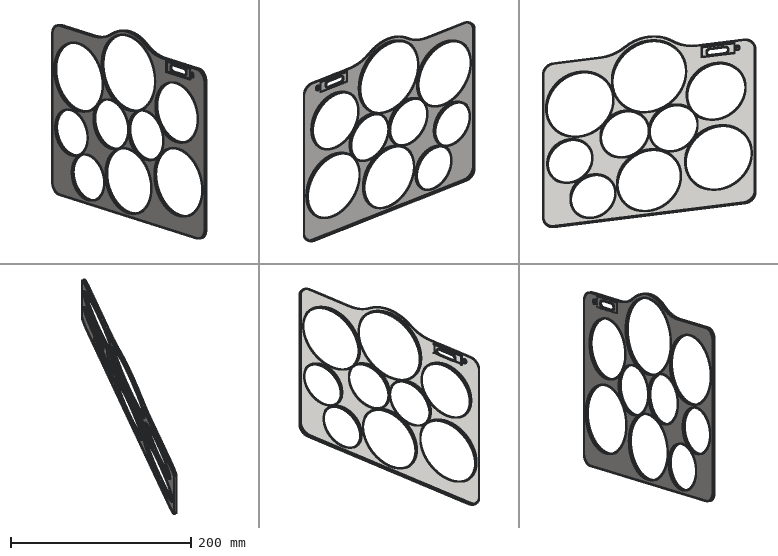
import cadquery as cq
import math

width = 245.8
total_height = 214.6
shoulder_height = 196.7
thickness = 3.0
corner_radius = 12.3

crest_radius = 47.7
blend_radius = 49.2

openings = [
    (0.0, 167.0, 86.3),
    (-80.5, 143.5, 78.2),
    (78.0, 138.7, 68.3),
    (-28.3, 100.8, 56.3),
    (28.3, 100.8, 56.3),
    (-92.0, 76.5, 52.4),
    (-65.2, 30.5, 52.4),
    (0.0, 41.3, 74.2),
    (80.6, 58.3, 77.5),
]

recess_center_x = 80.1
recess_center_z = 188.3
recess_length = 38.4
recess_height = 12.3
recess_depth = 1.7
slot_center_x = 79.0
slot_center_z = 187.8
slot_length = 25.3
slot_height = 7.5
small_hole_x = 102.5
small_hole_diameter = 5.2


def front_plane(x, z):
    """Sketch on the front face; its positive direction points out along -Y."""
    return cq.Workplane("XZ").center(x, z)


def make_plate():
    crest_center_z = total_height - crest_radius
    blend_center_z = shoulder_height + blend_radius
    center_distance = crest_radius + blend_radius
    angle = math.acos((blend_center_z - crest_center_z) / center_distance)
    blend_x = center_distance * math.sin(angle)

    tangent_x = crest_radius * math.sin(angle)
    tangent_z = crest_center_z + crest_radius * math.cos(angle)
    middle_x = blend_x - blend_radius * math.sin(angle / 2)
    middle_z = blend_center_z - blend_radius * math.cos(angle / 2)

    body = (
        front_plane(0, 0)
        .rect(width, shoulder_height)
        .extrude(-thickness)
        .edges("|Y")
        .fillet(corner_radius)
        .translate((0, 0, shoulder_height / 2))
    )
    crest = (
        front_plane(0, 0)
        .moveTo(-blend_x, shoulder_height)
        .threePointArc((-middle_x, middle_z), (-tangent_x, tangent_z))
        .threePointArc((0, total_height), (tangent_x, tangent_z))
        .threePointArc((middle_x, middle_z), (blend_x, shoulder_height))
        .lineTo(blend_x, shoulder_height / 2)
        .lineTo(-blend_x, shoulder_height / 2)
        .close()
        .extrude(-thickness)
    )
    return body.union(crest)


def round_cutter(x, z, diameter):
    return front_plane(x, z).circle(diameter / 2).extrude(-thickness)


def cut_tag_features(plate):
    recess = (
        front_plane(recess_center_x, recess_center_z)
        .rect(recess_length, recess_height)
        .extrude(-recess_depth)
    )
    slot = (
        front_plane(slot_center_x, slot_center_z)
        .slot2D(slot_length, slot_height)
        .extrude(-thickness)
    )
    small_hole = round_cutter(small_hole_x, slot_center_z, small_hole_diameter)
    return plate.cut(recess).cut(slot).cut(small_hole)


plate = make_plate()
for opening_x, opening_z, opening_diameter in openings:
    plate = plate.cut(round_cutter(opening_x, opening_z, opening_diameter))
result = cut_tag_features(plate)